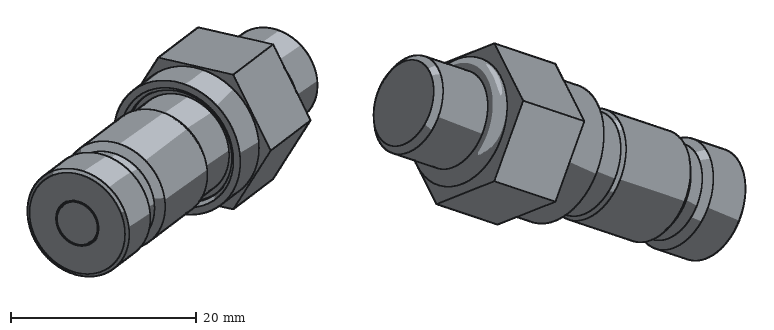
import cadquery as cq
import math

total_length = 44.6

stub_radius = 5.55
stub_chamfer = 0.7
ring_radius = 7.2
ring_thickness = 1.8

hex_flats = 16.0
hex_start = 9.05
hex_end = 18.0

collar_radius = 7.8
collar_end = 22.2
recess_radius = 6.5
recess_chamfer = 0.45
recess_depth = 1.0

neck_radius = 5.9
plug_radius = 6.3
shoulder_start = 26.45
shoulder_chamfer = 0.4
groove_start = 36.3
groove_end = 39.65
groove_radius = 5.45
groove_chamfer = plug_radius - groove_radius
end_chamfer_width = 0.4
end_chamfer_length = 0.22

pin_radius = 2.5
pin_gap_width = 0.15
pin_gap_depth = 0.45


def turned(outline):
    """Revolve (radius, station) points, closed on the axis, about Y."""
    half = total_length / 2
    points = [(radius, half - station) for radius, station in outline]
    profile = cq.Workplane("XY").polyline(points).close()
    return profile.revolve(360, (0, 0, 0), (0, 1, 0))


def make_turned_body():
    recess_floor = collar_end - recess_depth
    gap_floor = total_length - pin_gap_depth
    return turned([
        (0, 0),
        (stub_radius - stub_chamfer, 0),
        (stub_radius, stub_chamfer),
        (stub_radius, hex_end),
        (collar_radius, hex_end),
        (collar_radius, collar_end),
        (recess_radius + recess_chamfer, collar_end),
        (recess_radius, collar_end - recess_chamfer),
        (recess_radius, recess_floor),
        (neck_radius, recess_floor),
        (neck_radius, shoulder_start),
        (plug_radius, shoulder_start + shoulder_chamfer),
        (plug_radius, groove_start),
        (groove_radius, groove_start + groove_chamfer),
        (groove_radius, groove_end - groove_chamfer),
        (plug_radius, groove_end),
        (plug_radius, total_length - end_chamfer_length),
        (plug_radius - end_chamfer_width, total_length),
        (pin_radius + pin_gap_width, total_length),
        (pin_radius + pin_gap_width, gap_floor),
        (pin_radius, gap_floor),
        (pin_radius, total_length),
        (0, total_length),
    ])


def make_hexagon():
    across_corners = hex_flats / math.cos(math.pi / 6)
    return (
        cq.Workplane("XZ", origin=(0, total_length / 2 - hex_start, 0))
        .polygon(6, across_corners)
        .extrude(hex_end - hex_start)
    )


def make_sealing_ring():
    """Round-edged ring seated on the stub and against the hexagon."""
    edge_radius = ring_thickness / 2
    seat_y = total_length / 2 - hex_start
    rim_center = ring_radius - edge_radius
    return (
        cq.Workplane("XY")
        .moveTo(0, seat_y)
        .lineTo(rim_center, seat_y)
        .threePointArc((ring_radius, seat_y + edge_radius), (rim_center, seat_y + ring_thickness))
        .lineTo(0, seat_y + ring_thickness)
        .close()
        .revolve(360, (0, 0, 0), (0, 1, 0))
    )


result = make_turned_body().union(make_hexagon()).union(make_sealing_ring())